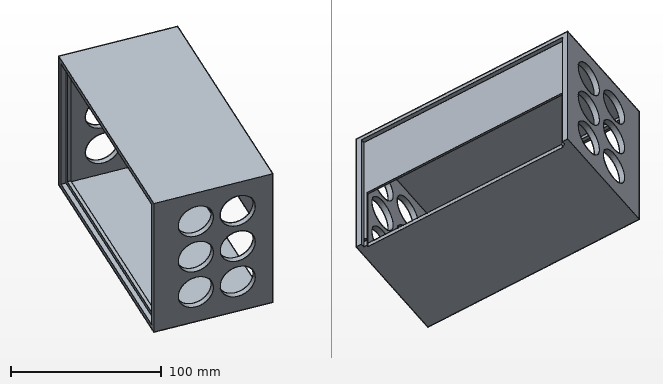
import cadquery as cq

length = 169.0
depth = 85.0
height = 109.0

side_wall = 4.2
floor_wall = 3.5
lip_rise_side = 2.4
lip_rise_floor = 2.9
lip_thickness = 2.5
front_rebate_depth = 3.5

panel_thickness = 1.4
rear_rebate_depth = 2.9
window_top = 53.2

pin_hole_diameter = 2.2
pin_hole_z = 6.6

hole_diameter = 25.0
hole_pitch = 29.9
hole_columns = 2
hole_rows = 3
hole_center_y = 45.0
hole_center_z = 55.1

inner_length = length - 2 * side_wall
inner_height = height - 2 * floor_wall
lip_length = inner_length - 2 * lip_rise_side
lip_height = inner_height - 2 * lip_rise_floor
panel_rear = depth - rear_rebate_depth
panel_front = panel_rear - panel_thickness
pin_hole_spacing = lip_length + lip_rise_side


def block(size_x, size_z, y_start, y_end):
    """Block centred on the middle of the box in X and Z, between two Y places."""
    size_y = y_end - y_start
    return (
        cq.Workplane("XY")
        .box(size_x, size_y, size_z)
        .translate((length / 2, y_start + size_y / 2, height / 2))
    )


def make_shell():
    """Four-walled box, open at the front and the rear."""
    outside = block(length, height, 0, depth)
    inside = block(inner_length, inner_height, 0, depth)
    return outside.cut(inside)


def make_front_lip():
    """Frame inside the front opening, set back to leave a rebate."""
    y_start = front_rebate_depth
    y_end = y_start + lip_thickness
    frame = block(inner_length, inner_height, y_start, y_end)
    return frame.cut(block(lip_length, lip_height, y_start, y_end))


def make_rear_panel():
    """Thin panel set in from the rear end by the rebate."""
    return block(inner_length, inner_height, panel_front, panel_rear)


def make_rear_window():
    """Cutter for the opening below mid height, down through the panel and the floor under it."""
    return (
        cq.Workplane("XY")
        .box(lip_length, panel_thickness, window_top, centered=(True, False, False))
        .translate((length / 2, panel_front, 0))
    )


def make_floor_notch():
    """Cutter that takes the floor away behind the panel, between the side walls."""
    return (
        cq.Workplane("XY")
        .box(inner_length, rear_rebate_depth, floor_wall, centered=(True, False, False))
        .translate((length / 2, panel_rear, 0))
    )


def make_pin_holes():
    """Small cylinders through the panel strips on both sides of the window."""
    return (
        cq.Workplane("XZ", origin=(length / 2, panel_front, pin_hole_z))
        .rarray(pin_hole_spacing, 1.7, 2, 1)
        .circle(pin_hole_diameter / 2)
        .extrude(-panel_thickness)
    )


def make_side_holes():
    """Grid of cylinders running along X through both side walls."""
    return (
        cq.Workplane("YZ")
        .center(hole_center_y, hole_center_z)
        .rarray(hole_pitch, hole_pitch, hole_columns, hole_rows)
        .circle(hole_diameter / 2)
        .extrude(length)
    )


shell = make_shell().union(make_front_lip()).union(make_rear_panel())
rear_opening = make_rear_window().union(make_floor_notch())
result = shell.cut(rear_opening).cut(make_pin_holes()).cut(make_side_holes())